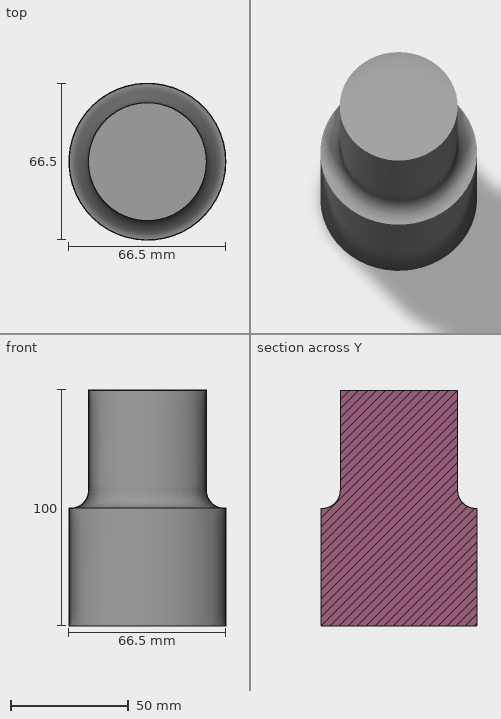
import cadquery as cq

total_height = 100.0
base_height = total_height / 2
base_diameter = 66.5
neck_diameter = 50.0
fillet_radius = 7.5

base = cq.Workplane("XY").circle(base_diameter / 2).extrude(base_height)
body = base.faces(">Z").workplane().circle(neck_diameter / 2).extrude(total_height - base_height)

shoulder = body.faces("|Z").faces(">Z[1]")
neck_root = shoulder.edges(cq.selectors.RadiusNthSelector(0))
result = neck_root.fillet(fillet_radius)